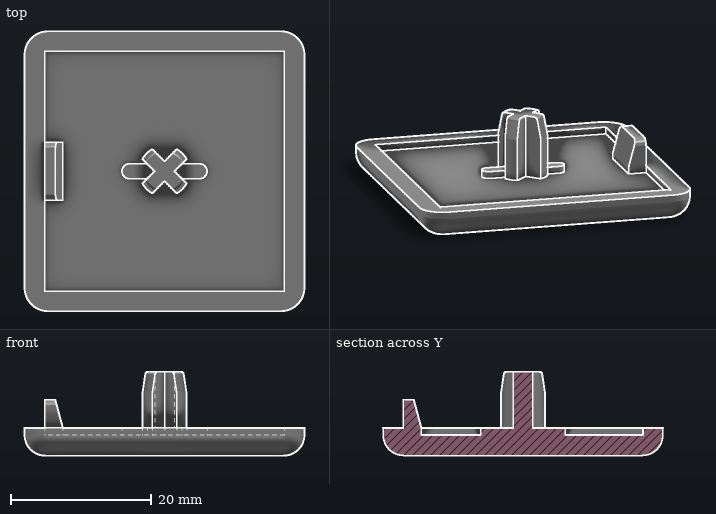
import cadquery as cq

side = 40.0
plate_height = 4.0
corner_radius = 3.4
edge_radius = 3.0

recess_side = 34.2
recess_depth = 1.0
floor_z = plate_height - recess_depth

overall_height = 12.0
post_radius = 3.6
post_tip_radius = 3.0
taper_start_z = 9.0
tip_rounding = 0.5
arm_width = 2.0
arm_angles = (45, 135)

bar_length = 12.15
bar_width = 2.1
bar_height = recess_depth

tab_length = 8.25
tab_top_z = 8.0
tab_base_width = 2.6
tab_top_width = 1.5
tab_corner_radius = 1.0


def make_plate():
    plate = cq.Workplane("XY").rect(side, side).extrude(plate_height)
    plate = plate.edges("|Z").fillet(corner_radius)
    plate = plate.faces("<Z").edges().fillet(edge_radius)
    return plate.faces(">Z").workplane().rect(recess_side, recess_side).cutBlind(-recess_depth)


def make_post():
    blank = (
        cq.Workplane("XZ")
        .moveTo(0, floor_z)
        .lineTo(post_radius, floor_z)
        .lineTo(post_radius, taper_start_z)
        .lineTo(post_tip_radius, overall_height)
        .lineTo(0, overall_height)
        .close()
        .revolve(360, (0, 0, 0), (0, 1, 0))
        .faces(">Z")
        .edges()
        .fillet(tip_rounding)
    )
    cross = cq.Workplane("XY")
    for angle in arm_angles:
        arm = cq.Workplane("XY").rect(2 * post_radius + arm_width, arm_width).extrude(overall_height)
        cross = cross.add(arm.rotate((0, 0, 0), (0, 0, 1), angle))
    return blank.intersect(cross.combine())


def make_bar():
    return cq.Workplane("XY", origin=(0, 0, floor_z)).slot2D(bar_length, bar_width).extrude(bar_height)


def make_tab():
    wall_x = -recess_side / 2
    return (
        cq.Workplane("XZ")
        .moveTo(wall_x, floor_z)
        .lineTo(wall_x + tab_base_width, floor_z)
        .lineTo(wall_x + tab_base_width, plate_height)
        .lineTo(wall_x + tab_top_width, tab_top_z)
        .lineTo(wall_x, tab_top_z)
        .close()
        .extrude(tab_length / 2, both=True)
        .faces(">Z")
        .edges("|X")
        .fillet(tab_corner_radius)
    )


result = make_plate().union(make_post()).union(make_bar()).union(make_tab())